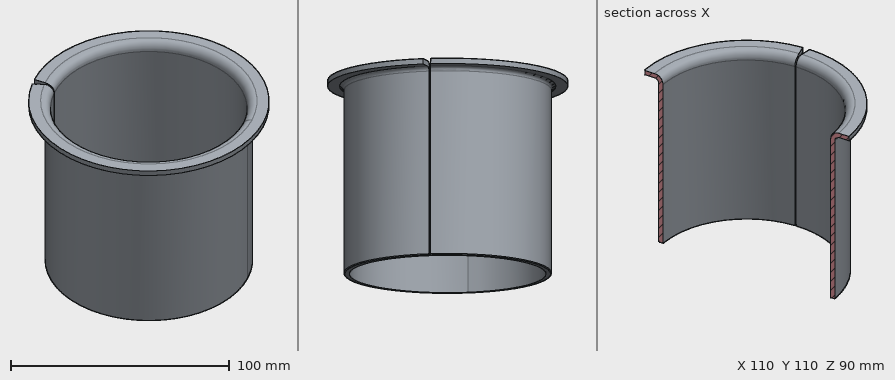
import cadquery as cq
import math

flange_diameter = 110.0
height = 90.0
bore_radius = 45.0
wall = 2.5
outer_bend_radius = 2.0
foot_chamfer = 0.4
slit_angle = 182.0
slit_width = 0.7
flange_gap_width = 3.5

flange_radius = flange_diameter / 2
sleeve_radius = bore_radius + wall
inner_bend_radius = outer_bend_radius + wall
bend_center_radius = bore_radius + inner_bend_radius
bend_base = height - inner_bend_radius
bend_cosine = math.cos(math.radians(45))
cut_margin = 1.1


def bend_midpoint(radius):
    """Middle of a quarter bend about the shared bend center."""
    return (bend_center_radius - radius * bend_cosine, bend_base + radius * bend_cosine)


def make_shell():
    """Sleeve, quarter bend and flange of constant wall, revolved about Z."""
    profile = (
        cq.Workplane("XZ")
        .moveTo(bore_radius, 0)
        .lineTo(sleeve_radius - foot_chamfer, 0)
        .lineTo(sleeve_radius, foot_chamfer)
        .lineTo(sleeve_radius, bend_base)
        .threePointArc(bend_midpoint(outer_bend_radius), (bend_center_radius, height - wall))
        .lineTo(flange_radius, height - wall)
        .lineTo(flange_radius, height)
        .lineTo(bend_center_radius, height)
        .threePointArc(bend_midpoint(inner_bend_radius), (bore_radius, bend_base))
        .close()
    )
    return profile.revolve(360, (0, 0, 0), (0, 1, 0))


def make_split():
    """Radial cutter: narrow slit through the sleeve, flaring out across the flange."""
    half_slit = slit_width / 2
    half_gap = flange_gap_width / 2
    flare = (half_gap - half_slit) / (flange_radius - sleeve_radius)
    cut_radius = flange_radius + cut_margin
    half_end = half_gap + flare * cut_margin
    outline = [
        (bore_radius - cut_margin, -half_slit),
        (sleeve_radius, -half_slit),
        (cut_radius, -half_end),
        (cut_radius, half_end),
        (sleeve_radius, half_slit),
        (bore_radius - cut_margin, half_slit),
    ]
    cutter = cq.Workplane("XY").workplane(offset=-cut_margin).polyline(outline).close()
    cutter = cutter.extrude(height + 2 * cut_margin)
    return cutter.rotate((0, 0, 0), (0, 0, 1), slit_angle)


result = make_shell().cut(make_split())